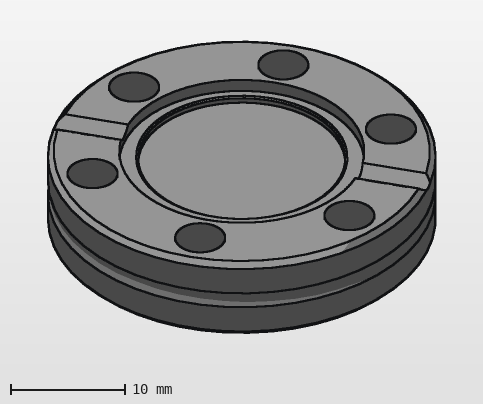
import cadquery as cq
import math

flange_diameter = 34.0
thickness = 7.75
rim_chamfer = 0.5

rim_groove_width = 1.5
rim_groove_depth = 0.17

recess_diameter = 21.5
knife_diameter = 18.53
floor_diameter = 18.15
knife_depth = 0.65
knife_bevel_drop = 0.15
floor_depth = 1.25
knife_slope = 20.0

bolt_hole_diameter = 4.4
bolt_circle_diameter = 27.0
bolt_count = 6

channel_width = 2.38
channel_depth = 0.6
channel_angles = (30.0, 210.0)

rim_radius = flange_diameter / 2
recess_radius = recess_diameter / 2
knife_radius = knife_diameter / 2
floor_radius = floor_diameter / 2


def arc_radius(chord, depth):
    """Radius of the arc with the given chord and depth below it."""
    return ((chord / 2) ** 2 + depth**2) / (2 * depth)


def make_body():
    """Revolved disc with the rim groove and the knife-edge recess."""
    middle = thickness / 2
    trough_drop = (recess_radius - knife_radius) * math.tan(math.radians(knife_slope))
    trough_z = thickness - knife_depth - trough_drop
    return (
        cq.Workplane("XZ")
        .moveTo(0, 0)
        .lineTo(rim_radius - rim_chamfer, 0)
        .lineTo(rim_radius, rim_chamfer)
        .lineTo(rim_radius, middle - rim_groove_width / 2)
        .threePointArc(
            (rim_radius - rim_groove_depth, middle),
            (rim_radius, middle + rim_groove_width / 2),
        )
        .lineTo(rim_radius, thickness - rim_chamfer)
        .lineTo(rim_radius - rim_chamfer, thickness)
        .lineTo(recess_radius, thickness)
        .lineTo(recess_radius, trough_z)
        .lineTo(knife_radius, thickness - knife_depth)
        .lineTo(floor_radius, thickness - knife_depth - knife_bevel_drop)
        .lineTo(floor_radius, thickness - floor_depth)
        .lineTo(0, thickness - floor_depth)
        .close()
        .revolve(360, (0, 0), (0, 1))
    )


def make_bolt_holes():
    return (
        cq.Workplane("XY")
        .polarArray(bolt_circle_diameter / 2, 0, 360, bolt_count)
        .circle(bolt_hole_diameter / 2)
        .extrude(thickness)
    )


def make_channel(angle):
    """Round cutter running from inside the recess out past the rim."""
    radius = arc_radius(channel_width, channel_depth)
    axis_z = thickness - channel_depth + radius
    return (
        cq.Workplane("YZ", origin=(knife_radius, 0, axis_z))
        .circle(radius)
        .extrude(flange_diameter - knife_radius)
        .rotate((0, 0, 0), (0, 0, 1), angle)
    )


result = make_body().cut(make_bolt_holes())
for channel_angle in channel_angles:
    result = result.cut(make_channel(channel_angle))